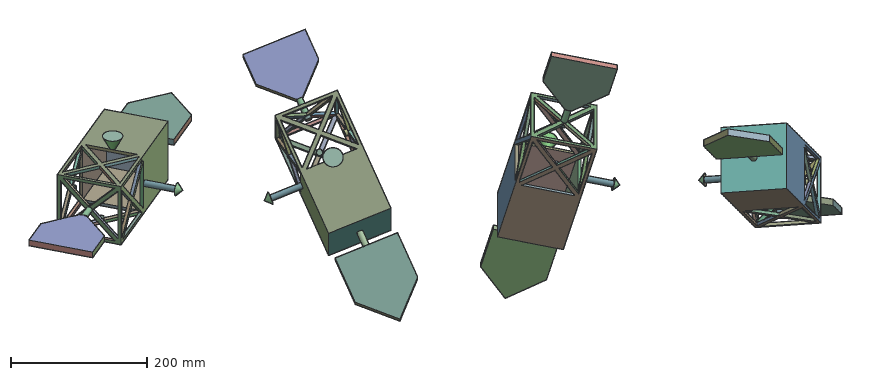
import cadquery as cq

overall_length = 469.0
body_width = 100.0
body_length = 2 * body_width
half_width = body_width / 2
front_face = -body_length / 2
back_face = body_length / 2

bay_size = 90.0
strut_width = (body_width - bay_size) / 2
bay_center_y = front_face + half_width

rod_diameter = 10.0
rod_radius = rod_diameter / 2
stub_end = 2 * strut_width

horn_height = 20.0
horn_mouth_radius = 15.0
boom_length = 50.0
boom_tip_radius = 10.0
boom_tip_length = 10.0

panel_thickness = 10.0
back_rod_length = 24.5
back_panel_side = 75.0
back_panel_point = half_width
front_panel_side = 50.0
front_panel_taper = half_width - rod_radius
back_span = back_rod_length + back_panel_side + back_panel_point
front_rod_length = overall_length - body_length - back_span - front_panel_side - front_panel_taper


def rod(start, direction, length):
    """Solid cylinder from a start point along a direction."""
    return cq.Workplane(obj=cq.Solid.makeCylinder(rod_radius, length, cq.Vector(*start), cq.Vector(*direction)))


def cone(start, direction, length, start_radius, end_radius):
    """Solid cone from a start point along a direction."""
    return cq.Workplane(
        obj=cq.Solid.makeCone(start_radius, end_radius, length, cq.Vector(*start), cq.Vector(*direction))
    )


def bay_window(plane, angle):
    """Triangular prism crossing the bay along the plane's normal, turned by an angle about that normal."""
    reach = bay_size / 2
    corner = reach - strut_width
    return (
        cq.Workplane(plane, origin=(0, bay_center_y, 0))
        .transformed(rotate=(0, 0, angle))
        .polyline([(-corner, reach), (corner, reach), (0, strut_width)])
        .close()
        .extrude(half_width, both=True)
    )


def body():
    """Hollow box whose front bay has X-braced frames for its top, bottom, side and front walls."""
    shell = cq.Workplane("XY").box(body_width, body_length, body_width)
    shell = shell.cut(cq.Workplane("XY").box(bay_size, body_length - 2 * strut_width, bay_size))
    for plane in ("XY", "YZ", "XZ"):
        for angle in (0, 90, 180, 270):
            shell = shell.cut(bay_window(plane, angle))
    return shell


def panel(outline):
    """Flat solar panel, centred on the height of the body."""
    return cq.Workplane("XY").polyline(outline).close().extrude(panel_thickness / 2, both=True)


def back_wing():
    """Rod and pointed panel behind the body."""
    root = back_face + back_rod_length
    shoulder = root + back_panel_side
    outline = [
        (-half_width, root),
        (half_width, root),
        (half_width, shoulder),
        (0, shoulder + back_panel_point),
        (-half_width, shoulder),
    ]
    return panel(outline).union(rod((0, back_face, 0), (0, 1, 0), back_rod_length))


def front_wing():
    """Rod and panel ahead of the body; the panel narrows to the width of the rod."""
    root = front_face - front_rod_length
    shoulder = root - front_panel_taper
    tip = shoulder - front_panel_side
    outline = [
        (-rod_radius, root),
        (rod_radius, root),
        (half_width, shoulder),
        (half_width, tip),
        (-half_width, tip),
        (-half_width, shoulder),
    ]
    front_rod = rod((0, root, 0), (0, 1, 0), front_rod_length + stub_end)
    return panel(outline).union(front_rod)


def wall_stubs():
    """Short round stubs standing inward at the brace crossings of the left and bottom walls."""
    left = rod((-half_width, bay_center_y, 0), (1, 0, 0), stub_end)
    bottom = rod((0, bay_center_y, -half_width), (0, 0, 1), stub_end)
    return left.union(bottom)


def side_boom():
    """Boom on the right side, ending in a wider pointed tip."""
    boom = rod((half_width, 0, 0), (1, 0, 0), boom_length)
    tip = cone((half_width + boom_length, 0, 0), (1, 0, 0), boom_tip_length, boom_tip_radius, 0)
    return boom.union(tip)


def top_horn():
    """Flared antenna on the top face."""
    return cone((0, 0, half_width), (0, 0, 1), horn_height, rod_radius, horn_mouth_radius)


result = body()
for feature in (back_wing(), front_wing(), wall_stubs(), side_boom(), top_horn()):
    result = result.union(feature)